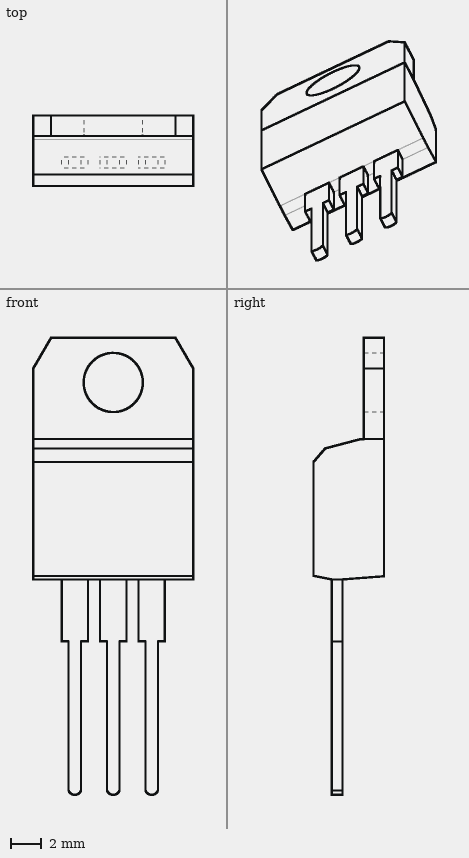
import cadquery as cq

total_height = 29.75
width = 10.4

tab_height = 6.6
tab_thickness = 1.35
tab_corner_width = 1.15
tab_corner_height = 2.0
hole_diameter = 3.85
hole_drop = 2.92

housing_depth = 4.6
housing_height = 9.13
ledge_depth = 1.58
shoulder_depth = 3.85
shoulder_drop = 0.6
front_edge_drop = 1.5
bottom_back_rise = 0.2
bottom_front_rise = 0.25

lead_count = 3
lead_pitch = 2.5
lead_thickness = 0.7
lead_back_depth = 2.7
wide_width = 1.73
wide_length = 4.02
narrow_width = 0.83
tip_height = 0.3

housing_top = total_height - tab_height
housing_bottom = housing_top - housing_height
lead_front_depth = lead_back_depth + lead_thickness
lead_step = housing_bottom - wide_length


def make_tab():
    """Plate standing on the housing, with two cut corners and a mounting hole."""
    half_width = width / 2
    half_top = half_width - tab_corner_width
    corner_z = total_height - tab_corner_height
    plate = (
        cq.Workplane("XZ")
        .polyline([
            (-half_width, housing_top),
            (half_width, housing_top),
            (half_width, corner_z),
            (half_top, total_height),
            (-half_top, total_height),
            (-half_width, corner_z),
        ])
        .close()
        .extrude(tab_thickness)
    )
    hole = (
        cq.Workplane("XZ")
        .center(0, total_height - hole_drop)
        .circle(hole_diameter / 2)
        .extrude(tab_thickness)
    )
    return plate.cut(hole)


def make_housing():
    """Block with a sloped shoulder and a bottom that is flat only where the leads meet it."""
    return (
        cq.Workplane("YZ")
        .polyline([
            (0, housing_top),
            (-ledge_depth, housing_top),
            (-shoulder_depth, housing_top - shoulder_drop),
            (-housing_depth, housing_top - front_edge_drop),
            (-housing_depth, housing_bottom + bottom_front_rise),
            (-lead_front_depth, housing_bottom),
            (-lead_back_depth, housing_bottom),
            (0, housing_bottom + bottom_back_rise),
        ])
        .close()
        .extrude(width / 2, both=True)
    )


def make_lead(center_x):
    """Flat stepped lead hanging from the housing, with a rounded tip."""
    half_wide = wide_width / 2
    half_narrow = narrow_width / 2
    return (
        cq.Workplane("XZ", origin=(center_x, -lead_back_depth, 0))
        .moveTo(-half_wide, housing_bottom)
        .lineTo(half_wide, housing_bottom)
        .lineTo(half_wide, lead_step)
        .lineTo(half_narrow, lead_step)
        .lineTo(half_narrow, tip_height)
        .threePointArc((0, 0), (-half_narrow, tip_height))
        .lineTo(-half_narrow, lead_step)
        .lineTo(-half_wide, lead_step)
        .close()
        .extrude(lead_thickness)
    )


tab = make_tab()
housing = make_housing()

leads = []
for index in range(lead_count):
    offset = index - (lead_count - 1) / 2
    leads.append(make_lead(offset * lead_pitch).val())

result = cq.Compound.makeCompound([tab.val(), housing.val(), *leads])